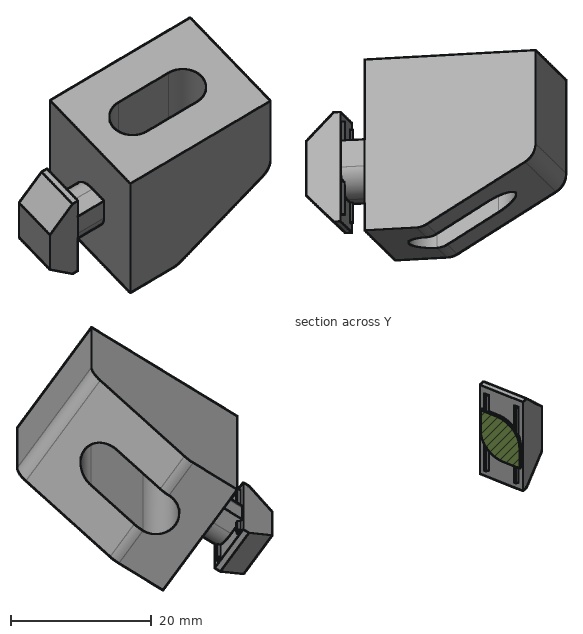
import cadquery as cq
import math

body_width = 19.0
body_size = 25.0
overall_depth = 34.9
bottom_flat = 8.38
ramp_angle = 30.0
corner_radius = 3.0

slot_width = 6.63
slot_length = 15.55
slot_front_gap = 4.25

axis_height = 10.95
head_width = 7.33
head_height = 16.0
head_thickness = 5.0
head_chamfer = 4.0
neck_width = slot_width
neck_height = 7.8
neck_radius = neck_height / 2
neck_length = overall_depth - body_size - head_thickness

ridge_offset = 2.55
ridge_base = 0.8
ridge_crest = 0.3
ridge_rise = 0.35
ridge_length = 13.55
ridge_root = 0.17


def make_body():
    """Block with a rounded ramp at the lower rear and a vertical slot."""
    ramp_height = (body_size - bottom_flat) * math.tan(math.radians(ramp_angle))
    body = (
        cq.Workplane("YZ")
        .moveTo(0, 0)
        .lineTo(bottom_flat, 0)
        .lineTo(body_size, ramp_height)
        .lineTo(body_size, body_size)
        .lineTo(0, body_size)
        .close()
        .extrude(body_width / 2, both=True)
    )
    ramp_ends = cq.selectors.BoxSelector(
        (-body_width, bottom_flat - 0.35, -0.35),
        (body_width, body_size + 0.35, ramp_height + 0.35),
    )
    body = body.edges("|X").edges(ramp_ends).fillet(corner_radius)
    slot = (
        cq.Workplane("XY")
        .center(0, slot_front_gap + slot_length / 2)
        .slot2D(slot_length, slot_width, 90)
        .extrude(body_size)
    )
    return body.cut(slot)


def make_neck():
    """Rectangular neck with two opposite corners fully rounded."""
    neck = (
        cq.Workplane("XY")
        .box(neck_width, neck_length, neck_height)
        .translate((0, -neck_length / 2, axis_height))
    )
    side = neck_width / 2
    half_height = neck_height / 2
    diagonal = neck_radius * math.sqrt(0.5)
    for sign in (-1, 1):
        arc_center = -sign * (neck_radius - side)
        corner_waste = (
            cq.Workplane("XZ", origin=(0, 0, axis_height))
            .moveTo(sign * side, 0)
            .threePointArc(
                (arc_center + sign * diagonal, -sign * diagonal),
                (arc_center, -sign * half_height),
            )
            .lineTo(sign * side, -sign * half_height)
            .close()
            .extrude(neck_length)
        )
        neck = neck.cut(corner_waste)
    return neck


def make_head():
    """Plate chamfered along the upper and lower edges of its front face."""
    head = (
        cq.Workplane("XY")
        .box(head_width, head_thickness, head_height)
        .translate((0, -neck_length - head_thickness / 2, axis_height))
    )
    return head.faces("<Y").edges("|X").chamfer(head_chamfer)


def make_ridge(x):
    """Vertical ridge of trapezoid section on the back of the head."""
    return (
        cq.Workplane("XY", origin=(x, -neck_length, axis_height))
        .moveTo(-ridge_base / 2, -ridge_root)
        .lineTo(-ridge_base / 2, 0)
        .lineTo(-ridge_crest / 2, ridge_rise)
        .lineTo(ridge_crest / 2, ridge_rise)
        .lineTo(ridge_base / 2, 0)
        .lineTo(ridge_base / 2, -ridge_root)
        .close()
        .extrude(ridge_length / 2, both=True)
    )


result = make_body().union(make_neck()).union(make_head())
for ridge_x in (-ridge_offset, ridge_offset):
    result = result.union(make_ridge(ridge_x))